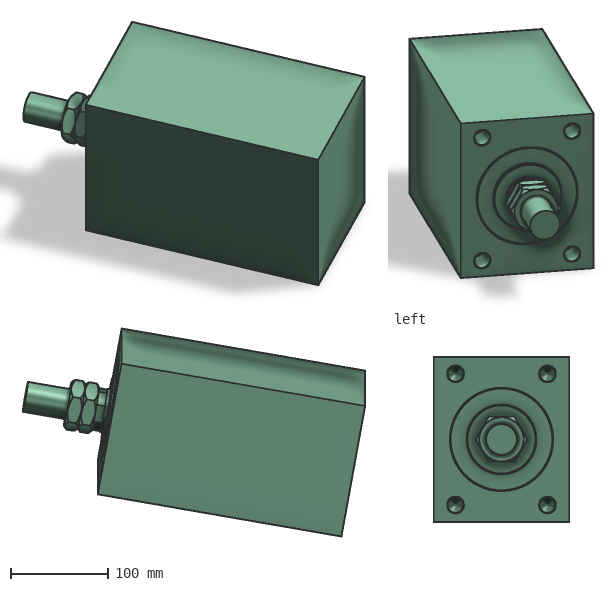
import cadquery as cq
import math

TOTAL_LENGTH = 343.0
BLOCK_LENGTH = 255.0
BLOCK_WIDTH = 140.0
BLOCK_HEIGHT = 170.0
BLOCK_FRONT = TOTAL_LENGTH - BLOCK_LENGTH

HOLE_DIAMETER = 16.0
HOLE_CHAMFER = 0.7
HOLE_DEPTH = 34.3
HOLE_TIP_ANGLE = 118.0
HOLE_SPACING_Y = 94.5
HOLE_SPACING_Z = 135.0

GROOVE_DIAMETER = 106.7
GROOVE_WIDTH = 1.0
GROOVE_DEPTH = 2.0
RING_DIAMETER = 72.0
RING_HEIGHT = 3.0
RING_CHAMFER = 1.0

TIP_DIAMETER = 31.5
SEAT_DIAMETER = 32.5
SEAT_START = 41.5
SEAT_LEAD = 1.7
FLATS_START = 73.0
FLATS_DIAMETER = 44.5
FLATS_ACROSS = 40.8
SHAFT_START = 81.5
SHAFT_DIAMETER = 45.3
SHAFT_DEPTH = 27.5
SHAFT_END = BLOCK_FRONT + SHAFT_DEPTH

NUT_COUNT = 2
NUT_ACROSS_FLATS = 46.3
NUT_THICKNESS = 14.5
NUT_FACE_DIAMETER = 45.5
NUT_CHAMFER_ANGLE = 40.0


def cylinder(x_start, x_end, diameter):
    """Round bar along the X axis."""
    return (
        cq.Workplane("YZ")
        .workplane(offset=x_start)
        .circle(diameter / 2)
        .extrude(x_end - x_start)
    )


def turned(profile):
    """Solid of revolution about the X axis from (x, radius) points."""
    return cq.Workplane("XY").polyline(profile).close().revolve(360, (0, 0), (1, 0))


def drilled_hole():
    """Blind hole on the X axis with a chamfered mouth in the block face and a conical bottom."""
    radius = HOLE_DIAMETER / 2
    bottom = BLOCK_FRONT + HOLE_DEPTH
    cone_height = radius / math.tan(math.radians(HOLE_TIP_ANGLE / 2))
    return turned([
        (BLOCK_FRONT, 0),
        (BLOCK_FRONT, radius + HOLE_CHAMFER),
        (BLOCK_FRONT + HOLE_CHAMFER, radius),
        (bottom, radius),
        (bottom + cone_height, 0),
    ])


def face_groove():
    """Narrow ring that is cut into the front face."""
    groove_bottom = BLOCK_FRONT + GROOVE_DEPTH
    core = cylinder(BLOCK_FRONT, groove_bottom, GROOVE_DIAMETER - 2 * GROOVE_WIDTH)
    return cylinder(BLOCK_FRONT, groove_bottom, GROOVE_DIAMETER).cut(core)


def raised_ring():
    """Low chamfered disc around the rod, standing out of the front face."""
    disc = cylinder(BLOCK_FRONT - RING_HEIGHT, BLOCK_FRONT, RING_DIAMETER)
    return disc.faces("<X").edges().chamfer(RING_CHAMFER)


def make_housing():
    block = cq.Workplane("XY").box(
        BLOCK_LENGTH, BLOCK_WIDTH, BLOCK_HEIGHT, centered=(False, True, True)
    )
    housing = block.translate((BLOCK_FRONT, 0, 0)).union(raised_ring())
    housing = housing.cut(face_groove())
    housing = housing.cut(cylinder(BLOCK_FRONT - RING_HEIGHT, SHAFT_END, SHAFT_DIAMETER))
    hole = drilled_hole()
    for y in (-HOLE_SPACING_Y / 2, HOLE_SPACING_Y / 2):
        for z in (-HOLE_SPACING_Z / 2, HOLE_SPACING_Z / 2):
            housing = housing.cut(hole.translate((0, y, z)))
    return housing


def wrench_section():
    """Round section of the rod with four flats, facing Y and Z."""
    length = SHAFT_START - FLATS_START
    square = (
        cq.Workplane("YZ")
        .workplane(offset=FLATS_START)
        .rect(FLATS_ACROSS, FLATS_ACROSS)
        .extrude(length)
    )
    return cylinder(FLATS_START, SHAFT_START, FLATS_DIAMETER).intersect(square)


def make_rod():
    tip_and_seat = turned([
        (0, 0),
        (0, TIP_DIAMETER / 2),
        (SEAT_START, TIP_DIAMETER / 2),
        (SEAT_START + SEAT_LEAD, SEAT_DIAMETER / 2),
        (FLATS_START, SEAT_DIAMETER / 2),
        (FLATS_START, 0),
    ])
    shaft = cylinder(SHAFT_START, SHAFT_END, SHAFT_DIAMETER)
    return tip_and_seat.union(wrench_section()).union(shaft)


def make_nut(x_start):
    """Hexagon nut with two corners on the Y axis and both ends chamfered."""
    corner_radius = NUT_ACROSS_FLATS / math.sqrt(3)
    face_radius = NUT_FACE_DIAMETER / 2
    chamfer_length = (corner_radius - face_radius) * math.tan(math.radians(NUT_CHAMFER_ANGLE))
    hexagon = cq.Workplane("YZ").polygon(6, 2 * corner_radius).extrude(NUT_THICKNESS)
    chamfered_bar = turned([
        (0, 0),
        (0, face_radius),
        (chamfer_length, corner_radius),
        (NUT_THICKNESS - chamfer_length, corner_radius),
        (NUT_THICKNESS, face_radius),
        (NUT_THICKNESS, 0),
    ])
    bore = cylinder(0, NUT_THICKNESS, SEAT_DIAMETER)
    return hexagon.intersect(chamfered_bar).cut(bore).translate((x_start, 0, 0))


housing = make_housing()
rod = make_rod()

nuts = []
for position in range(1, NUT_COUNT + 1):
    nuts.append(make_nut(FLATS_START - position * NUT_THICKNESS).val())

result = cq.Compound.makeCompound([housing.val(), rod.val(), *nuts])